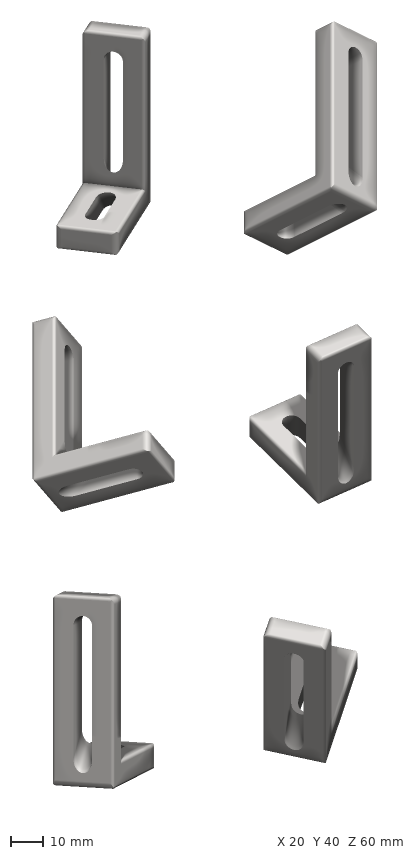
import cadquery as cq
import math

width = 20.0
depth = 40.0
height = 60.0
thickness = 8.0

edge_radius = 1.0
tip_radius = 2.0
heel_radius = 2.0

slot_radius = 3.05
slot_heel_center = 17.0
upright_slot_tip_center = 50.85
foot_slot_tip_center = 30.0
slot_heel_angle = 45.0


def rounded_leg(length):
    """Leg along +Z with its outer heel at the origin and its inner face at Y = -thickness.

    Each group of parallel edges is rounded right through, so the roundings meet in mitres.
    """
    block = cq.Workplane("XY").box(width, thickness, length, centered=(True, False, False))
    block = block.translate((0, -thickness, 0))
    along_length = block.edges("|Z").fillet(edge_radius)
    across_width = block.edges("|X and >Z").fillet(edge_radius)
    across_width = across_width.edges("|X and >Y and <Z").fillet(heel_radius)
    through_thickness = block.edges("|Y and >Z").fillet(tip_radius)
    through_thickness = through_thickness.edges("|Y and <Z").fillet(edge_radius)
    return along_length.intersect(across_width).intersect(through_thickness)


def slot_cutter(tip_center):
    """Slot through a leg along +Z, square to the leg at the tip and sloping at the heel end."""
    heel_slope = math.radians(slot_heel_angle)
    heel_drop = thickness * math.tan(heel_slope)
    walls = (
        cq.Workplane("YZ")
        .moveTo(-thickness, tip_center)
        .lineTo(-thickness, slot_heel_center)
        .lineTo(0, slot_heel_center - heel_drop)
        .lineTo(0, tip_center)
        .close()
        .extrude(slot_radius, both=True)
    )
    tip_end = cq.Workplane("XZ").center(0, tip_center).circle(slot_radius).extrude(thickness)

    overrun = 2 * slot_radius
    axis = cq.Vector(0, math.cos(heel_slope), -math.sin(heel_slope))
    axis_start = cq.Vector(0, -thickness, slot_heel_center) - axis * overrun
    bore_length = thickness / math.cos(heel_slope) + 2 * overrun
    bore = cq.Workplane(cq.Solid.makeCylinder(slot_radius, bore_length, axis_start, axis))
    leg_slab = cq.Workplane("XZ").rect(width, 2 * height).extrude(thickness)
    return walls.union(tip_end).union(bore.intersect(leg_slab))


def lay_down(shape):
    """Turn an upright shape into a foot shape: +Z becomes -Y and -Y becomes +Z."""
    return shape.mirror("XZ").rotate((0, 0, 0), (1, 0, 0), 90)


upright = rounded_leg(height)
foot = lay_down(rounded_leg(depth))
result = upright.union(foot)
result = result.cut(slot_cutter(upright_slot_tip_center))
result = result.cut(lay_down(slot_cutter(foot_slot_tip_center)))